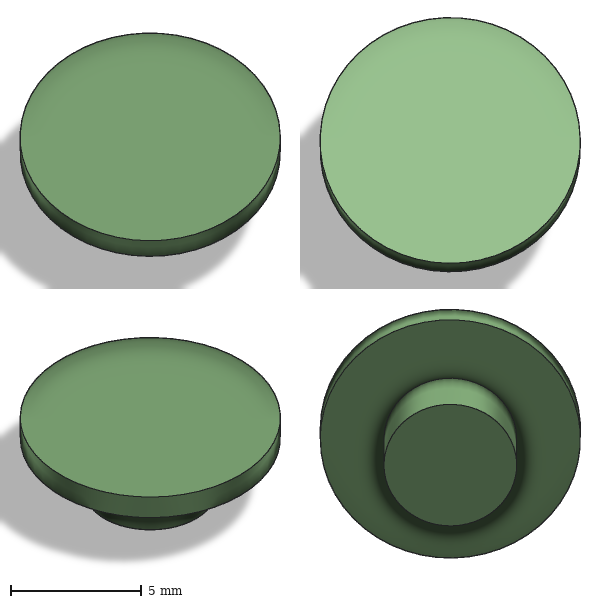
import cadquery as cq

flange_diameter = 10
flange_thickness = 1
stem_diameter = 5.1
stem_length = 2.5

stem = cq.Workplane("XY").circle(stem_diameter / 2).extrude(stem_length)

flange = (
    cq.Workplane("XY")
    .workplane(offset=stem_length)
    .circle(flange_diameter / 2)
    .extrude(flange_thickness)
)

result = stem.union(flange)